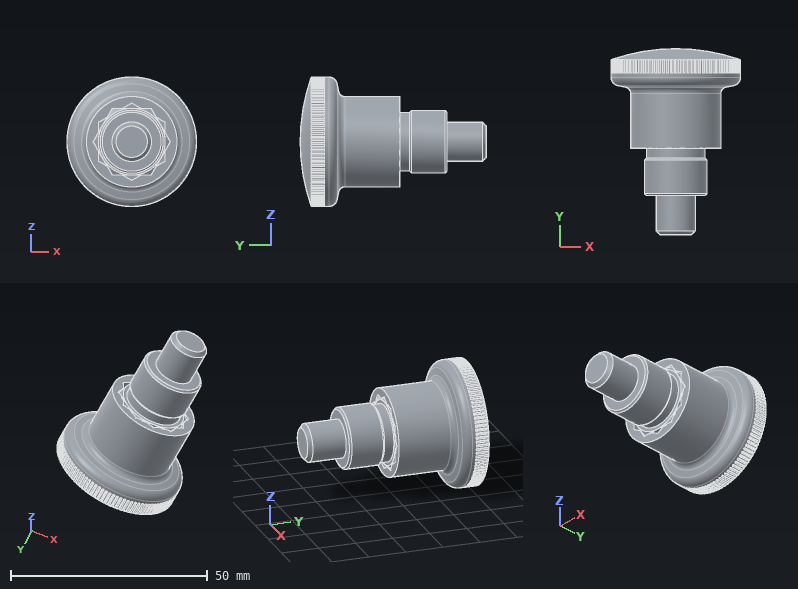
import cadquery as cq
import math


HEAD_RADIUS = 16.5
COLLAR_RADIUS = 11.5
COLLAR_LENGTH = 14.02
NECK_FILLET = 1.55
HEAD_EDGE_RADIUS = 2.2
UNDERSIDE_SLOPE = 11.0
RIM_TOP = 22.55
KNOB_TOP = 25.4

GROOVE_COUNT = 100
GROOVE_WIDTH = 0.55
GROOVE_DEPTH = GROOVE_WIDTH / 2
KNURL_LENGTH = 3.4

HEX_ACROSS_FLATS = 17.0
HEX_HEIGHT = 8.0
HEX_CHAMFER_ANGLE = 30.0
RELIEF_RADIUS = 7.5
RELIEF_LENGTH = 2.45
BARREL_RADIUS = 8.0
BARREL_END = 12.0
BARREL_CHAMFER = BARREL_RADIUS - RELIEF_RADIUS
PIN_RADIUS = 5.0
PIN_LENGTH = 10.0
PIN_CHAMFER = 1.05

HEX_CIRCUMDIAMETER = HEX_ACROSS_FLATS / math.cos(math.radians(30))


def hexagon_prism(turn):
    """Hexagonal prism from y = 0 to HEX_HEIGHT, turned about Y; unturned, corners point along X."""
    prism = cq.Workplane("XZ").polygon(6, HEX_CIRCUMDIAMETER).extrude(-HEX_HEIGHT)
    return prism.rotate((0, 0, 0), (0, 1, 0), turn)


def knob_blank():
    """Turned knob: collar, neck fillet, conical underside, rounded edge, rim and dome."""
    slope = math.radians(UNDERSIDE_SLOPE)

    def arc_point(center, radius, angle):
        return (center[0] + radius * math.cos(angle), center[1] + radius * math.sin(angle))

    neck_center = (COLLAR_RADIUS + NECK_FILLET, COLLAR_LENGTH)
    neck_end_angle = math.pi / 2 + slope
    neck_middle = arc_point(neck_center, NECK_FILLET, (math.pi + neck_end_angle) / 2)
    cone_inner = arc_point(neck_center, NECK_FILLET, neck_end_angle)

    cone_outer_radius = HEAD_RADIUS - HEAD_EDGE_RADIUS * (1 - math.sin(slope))
    cone_outer_y = cone_inner[1] + (cone_outer_radius - cone_inner[0]) * math.tan(slope)
    edge_center = (HEAD_RADIUS - HEAD_EDGE_RADIUS, cone_outer_y + HEAD_EDGE_RADIUS * math.cos(slope))
    edge_start_angle = slope - math.pi / 2
    edge_middle = arc_point(edge_center, HEAD_EDGE_RADIUS, edge_start_angle / 2)

    dome_height = KNOB_TOP - RIM_TOP
    dome_radius = (HEAD_RADIUS**2 + dome_height**2) / (2 * dome_height)
    dome_center = (0, KNOB_TOP - dome_radius)
    rim_angle = math.atan2(RIM_TOP - dome_center[1], HEAD_RADIUS)
    dome_middle = arc_point(dome_center, dome_radius, (rim_angle + math.pi / 2) / 2)

    return (
        cq.Workplane("XY")
        .moveTo(0, 0)
        .lineTo(COLLAR_RADIUS, 0)
        .lineTo(COLLAR_RADIUS, COLLAR_LENGTH)
        .threePointArc(neck_middle, cone_inner)
        .lineTo(cone_outer_radius, cone_outer_y)
        .threePointArc(edge_middle, (HEAD_RADIUS, edge_center[1]))
        .lineTo(HEAD_RADIUS, RIM_TOP)
        .threePointArc(dome_middle, (0, KNOB_TOP))
        .close()
        .revolve(360, (0, 0), (0, 1))
    )


def knurl_grooves():
    """All V-grooves of the rim as one compound of cutters."""
    bottom = RIM_TOP - KNURL_LENGTH
    valley_radius = HEAD_RADIUS - GROOVE_DEPTH
    mouth_radius = HEAD_RADIUS + GROOVE_DEPTH
    groove = (
        cq.Workplane("XZ", origin=(0, bottom, 0))
        .polyline([(valley_radius, 0), (mouth_radius, GROOVE_WIDTH), (mouth_radius, -GROOVE_WIDTH)])
        .close()
        .extrude(bottom - KNOB_TOP)
        .val()
    )
    pitch = 360 / GROOVE_COUNT
    return cq.Compound.makeCompound(
        [groove.rotate(cq.Vector(0, 0, 0), cq.Vector(0, 1, 0), i * pitch) for i in range(GROOVE_COUNT)]
    )


def make_knob():
    """Knurled knob with a twelve-point socket made of two crossed hexagons."""
    knob = knob_blank().cut(cq.Workplane(obj=knurl_grooves()))
    for turn in (0, 30):
        knob = knob.cut(hexagon_prism(turn))
    return knob


def chamfered_hexagon():
    """Hexagon seated in the socket, its outer corners turned off by a cone."""
    face_radius = HEX_ACROSS_FLATS / 2
    corner_radius = HEX_CIRCUMDIAMETER / 2
    corner_drop = (corner_radius - face_radius) * math.tan(math.radians(HEX_CHAMFER_ANGLE))
    envelope = (
        cq.Workplane("XY")
        .polyline([
            (0, 0),
            (face_radius, 0),
            (corner_radius, corner_drop),
            (corner_radius, HEX_HEIGHT),
            (0, HEX_HEIGHT),
        ])
        .close()
        .revolve(360, (0, 0), (0, 1))
    )
    return hexagon_prism(0).intersect(envelope)


def make_plunger():
    """Hexagon, relief, chamfered barrel and pin in one piece."""
    pin_end = BARREL_END + PIN_LENGTH
    shaft = (
        cq.Workplane("XY")
        .polyline([
            (0, 0),
            (RELIEF_RADIUS, 0),
            (RELIEF_RADIUS, -RELIEF_LENGTH),
            (BARREL_RADIUS, -RELIEF_LENGTH - BARREL_CHAMFER),
            (BARREL_RADIUS, -BARREL_END + BARREL_CHAMFER),
            (BARREL_RADIUS - BARREL_CHAMFER, -BARREL_END),
            (PIN_RADIUS, -BARREL_END),
            (PIN_RADIUS, -pin_end + PIN_CHAMFER),
            (PIN_RADIUS - PIN_CHAMFER, -pin_end),
            (0, -pin_end),
        ])
        .close()
        .revolve(360, (0, 0), (0, 1))
    )
    return shaft.union(chamfered_hexagon())


knob = make_knob()
plunger = make_plunger()

result = cq.Compound.makeCompound([*knob.solids().vals(), *plunger.solids().vals()])